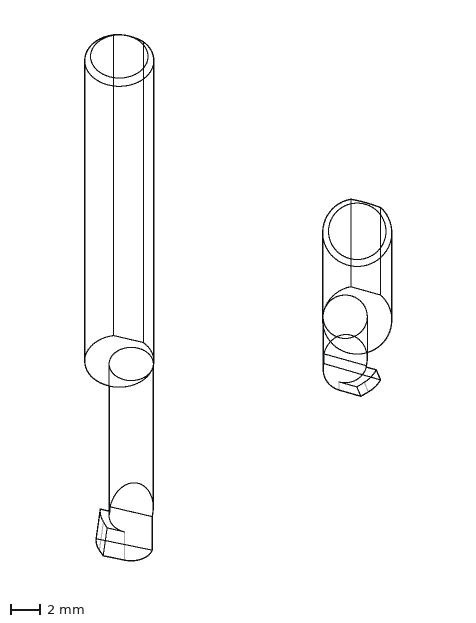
import cadquery as cq

total_length = 50.8
shank_diameter = 4.8
shank_radius = shank_diameter / 2
shank_flat_y = 2.15
shank_bottom_z = 19.05
shank_chamfer = 0.4

neck_diameter = 3.05
neck_radius = neck_diameter / 2
neck_center_x = shank_radius - neck_radius

relief_ramp_low_z = 3.65
relief_ramp_high_z = 5.0

head_top_z = 3.2
tip_bottom_x = -1.7
flank_middle_offset = (0.2, -0.55)
flank_end_offset = (0.55, -1.05)
heel_offset_x = 0.95
edge_shift_x = 0.3

end_rise_x = 0.15
end_rise_y = 0.15


def make_shank():
    """Round shank with a chamfered top and a flat along its +Y side."""
    length = total_length - shank_bottom_z
    shank = (
        cq.Workplane("XY", origin=(0, 0, shank_bottom_z))
        .circle(shank_radius)
        .extrude(length)
        .faces(">Z")
        .chamfer(shank_chamfer)
    )
    flat_cut = (
        cq.Workplane("XY", origin=(0, shank_flat_y + shank_radius, shank_bottom_z))
        .rect(shank_diameter, shank_diameter)
        .extrude(length)
    )
    return shank.cut(flat_cut)


def make_neck():
    """Neck with the ramped half relief."""
    neck = cq.Workplane("XY").center(neck_center_x, 0).circle(neck_radius).extrude(shank_bottom_z)
    ramp_slope = (relief_ramp_high_z - relief_ramp_low_z) / neck_radius
    relief_outer_y = 2 * neck_radius
    relief = (
        cq.Workplane("YZ")
        .polyline(
            [
                (0, 0),
                (0, relief_ramp_low_z),
                (relief_outer_y, relief_ramp_low_z + ramp_slope * relief_outer_y),
                (relief_outer_y, 0),
            ]
        )
        .close()
        .extrude(shank_diameter, both=True)
    )
    return neck.cut(relief)


def head_section(tip_x, z):
    """Closed head outline at height z, starting from the cutting edge."""
    middle_dx, middle_y = flank_middle_offset
    end_dx, end_y = flank_end_offset
    outline = (
        cq.Workplane("XY", origin=(0, 0, z))
        .moveTo(tip_x, 0)
        .threePointArc((tip_x + middle_dx, middle_y), (tip_x + end_dx, end_y))
        .lineTo(tip_x + heel_offset_x, -neck_radius)
        .lineTo(neck_center_x, -neck_radius)
        .lineTo(neck_center_x, 0)
        .close()
    )
    return outline.wires().val()


def make_head():
    """Head whose curved flank leans away from the tip towards the top."""
    bottom = head_section(tip_bottom_x, 0)
    top = head_section(tip_bottom_x + edge_shift_x, head_top_z)
    return cq.Workplane(cq.Solid.makeLoft([bottom, top], True))


def make_end_cut():
    """Block below the sloping end face, which passes through the cutting tip."""
    slope_x = end_rise_x / (shank_radius - tip_bottom_x)
    slope_y = end_rise_y / neck_radius
    end_plane = cq.Plane(
        origin=(tip_bottom_x, 0, 0),
        xDir=(1, 0, slope_x),
        normal=(-slope_x, slope_y, 1),
    )
    block_side = 4 * shank_diameter
    return cq.Workplane(end_plane).rect(block_side, block_side).extrude(-shank_diameter)


result = make_shank().union(make_neck()).union(make_head()).cut(make_end_cut())